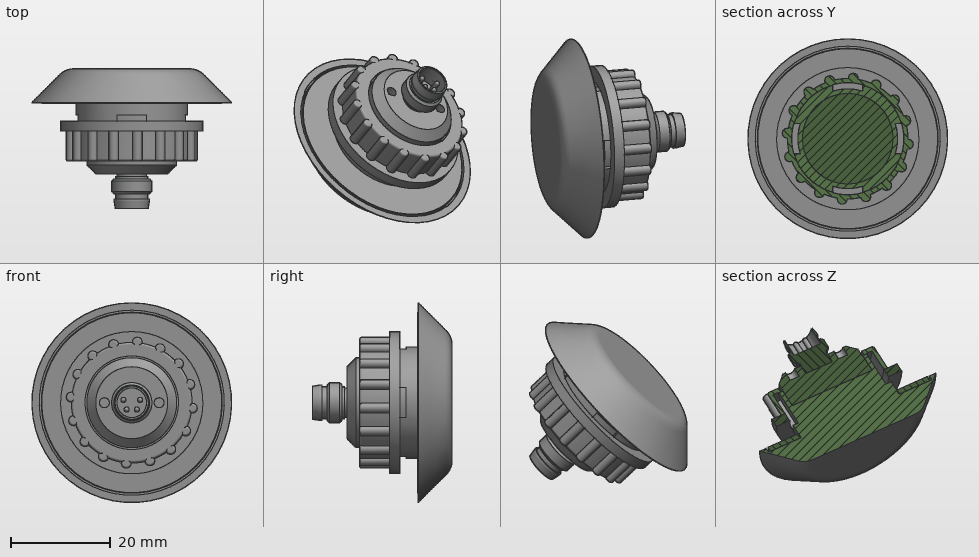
import cadquery as cq
import math


HEAD_RADIUS = 20.0
HEAD_DEPTH = 6.9
RIM_LAND = 0.1
DOME_BLEND_RADIUS = 4.0
RECESS_RADIUS = 18.5
RECESS_DEPTH = 1.0
NECK_RADIUS = 11.2
NECK_END = 17.5
NOTCH_COUNT = 4
NOTCH_WIDTH = 6.0
NOTCH_FLOOR_RADIUS = 10.0
NOTCH_START = 9.25

GASKET_RADIUS = 18.1
GASKET_CHAMFER = 0.1
GASKET_PROTRUSION = 0.1

WASHER_RADIUS = 14.25
WASHER_START = 10.5
WASHER_END = 12.5

NUT_RADIUS = 12.1
NUT_END = 18.5
NUT_FILLET = 0.5
NUT_MOUTH_RADIUS = 9.35
RIB_COUNT = 16
RIB_RADIUS = 1.0
RIB_CIRCLE_RADIUS = 12.15
RIB_FILLET = 0.4
RIB_START_ANGLE = 5.2

PLUG_RADIUS = 9.0
PLUG_CHAMFER = 1.8
PLUG_START = 13.5
PLUG_END = 21.1
SPANNER_HOLE_RADIUS = 1.0
SPANNER_HOLE_OFFSET = 5.5
SPANNER_HOLE_DEPTH = 2.0

CONNECTOR_END = 28.0
CONNECTOR_SEAT = 2.0
STEM_RADIUS = 2.95
STEM_LENGTH = 0.5
SHELL_RADIUS = 3.25
COLLAR_RADIUS = 4.05
COLLAR_CHAMFER = 0.5
COLLAR_START = 22.05
COLLAR_END = 25.05
LIP_RADIUS = 3.55
LIP_START = 26.05
LIP_LENGTH = 0.5
TIP_RADIUS = 3.3
SOCKET_RADIUS = 2.95
SOCKET_DEPTH = 4.0

PIN_RADIUS = 0.5
PIN_END = 27.4
PIN_SEAT = 1.0
PIN_CENTERS = [(-1.7, 0.55), (1.7, 0.55), (-1.05, -1.35), (1.05, -1.35)]


def turned(profile):
    """Revolve a closed (depth, radius) polyline about the Y axis."""
    points = [(-depth, radius) for depth, radius in profile]
    return cq.Workplane("YZ").polyline(points).close().revolve(360, (0, 0), (1, 0))


def cylinder(radius, start, end, x=0.0, z=0.0):
    """Cylinder along Y between two depths, centred at (x, z)."""
    rod = turned([(start, 0), (start, radius), (end, radius), (end, 0)])
    return rod.translate((x, 0, z))


def rounded_rod(radius, start, end, fillet, z=0.0):
    """Cylinder along Y whose front edge is rounded."""
    return cylinder(radius, start, end, z=z).faces("<Y").edges().fillet(fillet)


def make_head():
    """Solid domed disc: flat back, tangent arc, 45 degree cone and a short straight rim."""
    diagonal = math.sqrt(0.5)
    cone_end = HEAD_DEPTH - RIM_LAND
    blend_depth = DOME_BLEND_RADIUS * (1 - diagonal)
    blend_radius = HEAD_RADIUS - (cone_end - blend_depth)
    flat_radius = blend_radius - DOME_BLEND_RADIUS * diagonal
    middle = math.radians(45 / 2)
    arc_middle = (
        -DOME_BLEND_RADIUS * (1 - math.cos(middle)),
        flat_radius + DOME_BLEND_RADIUS * math.sin(middle),
    )
    return (
        cq.Workplane("YZ")
        .moveTo(0, 0)
        .lineTo(0, flat_radius)
        .threePointArc(arc_middle, (-blend_depth, blend_radius))
        .lineTo(-cone_end, HEAD_RADIUS)
        .lineTo(-HEAD_DEPTH, HEAD_RADIUS)
        .lineTo(-HEAD_DEPTH, 0)
        .close()
        .revolve(360, (0, 0), (1, 0))
    )


def make_neck_notches():
    """Four straight-sided keyways with a common round floor, as cutters."""
    length = NECK_END - NOTCH_START
    bar = cq.Workplane("XY").box(NOTCH_WIDTH, length, NECK_RADIUS, centered=(True, True, False))
    bar = bar.translate((0, -(NOTCH_START + NECK_END) / 2, 0))
    core = cylinder(NOTCH_FLOOR_RADIUS, NOTCH_START, NECK_END)
    cutter = bar.cut(core)
    return [cutter.rotate((0, 0, 0), (0, 1, 0), index * 360 / NOTCH_COUNT) for index in range(NOTCH_COUNT)]


def make_housing():
    recess_floor = HEAD_DEPTH - RECESS_DEPTH
    head = make_head().cut(cylinder(RECESS_RADIUS, recess_floor, HEAD_DEPTH))
    housing = head.union(cylinder(NECK_RADIUS, recess_floor, NECK_END))
    housing = housing.cut(cylinder(PLUG_RADIUS, PLUG_START, NECK_END))
    for notch in make_neck_notches():
        housing = housing.cut(notch)
    return housing


def make_gasket():
    back = HEAD_DEPTH - RECESS_DEPTH
    front = HEAD_DEPTH + GASKET_PROTRUSION
    return turned([
        (back, NECK_RADIUS),
        (back, GASKET_RADIUS),
        (front - GASKET_CHAMFER, GASKET_RADIUS),
        (front, GASKET_RADIUS - GASKET_CHAMFER),
        (front, NECK_RADIUS),
    ])


def make_washer():
    washer = cylinder(WASHER_RADIUS, WASHER_START, WASHER_END)
    return washer.cut(cylinder(NECK_RADIUS, WASHER_START, WASHER_END))


def make_nut():
    nut = rounded_rod(NUT_RADIUS, WASHER_END, NUT_END, NUT_FILLET)
    rib = rounded_rod(RIB_RADIUS, WASHER_END, NUT_END, RIB_FILLET, z=RIB_CIRCLE_RADIUS)
    for index in range(RIB_COUNT):
        angle = RIB_START_ANGLE + index * 360 / RIB_COUNT
        nut = nut.union(rib.rotate((0, 0, 0), (0, 1, 0), angle))
    nut = nut.cut(cylinder(NECK_RADIUS, WASHER_END, NECK_END))
    return nut.cut(cylinder(NUT_MOUTH_RADIUS, NECK_END, NUT_END))


def make_plug():
    plug = cylinder(PLUG_RADIUS, PLUG_START, PLUG_END).faces("<Y").chamfer(PLUG_CHAMFER)
    for side in (-1, 1):
        x = side * SPANNER_HOLE_OFFSET
        plug = plug.cut(cylinder(SPANNER_HOLE_RADIUS, PLUG_END - SPANNER_HOLE_DEPTH, PLUG_END, x))
    return plug.cut(cylinder(STEM_RADIUS, PLUG_END - CONNECTOR_SEAT, PLUG_END))


def make_pin(x, z):
    start = CONNECTOR_END - SOCKET_DEPTH - PIN_SEAT
    pin = cylinder(PIN_RADIUS, start, PIN_END - PIN_RADIUS, x, z)
    return pin.union(cq.Workplane("XY").sphere(PIN_RADIUS).translate((x, PIN_RADIUS - PIN_END, z)))


def make_connector():
    connector = turned([
        (PLUG_END - CONNECTOR_SEAT, 0),
        (PLUG_END - CONNECTOR_SEAT, STEM_RADIUS),
        (PLUG_END + STEM_LENGTH, STEM_RADIUS),
        (PLUG_END + STEM_LENGTH, SHELL_RADIUS),
        (COLLAR_START, SHELL_RADIUS),
        (COLLAR_START, COLLAR_RADIUS - COLLAR_CHAMFER),
        (COLLAR_START + COLLAR_CHAMFER, COLLAR_RADIUS),
        (COLLAR_END - COLLAR_CHAMFER, COLLAR_RADIUS),
        (COLLAR_END, COLLAR_RADIUS - COLLAR_CHAMFER),
        (COLLAR_END, SHELL_RADIUS),
        (LIP_START, SHELL_RADIUS),
        (LIP_START, LIP_RADIUS),
        (LIP_START + LIP_LENGTH, LIP_RADIUS),
        (CONNECTOR_END, TIP_RADIUS),
        (CONNECTOR_END, 0),
    ])
    socket_floor = CONNECTOR_END - SOCKET_DEPTH
    connector = connector.cut(cylinder(SOCKET_RADIUS, socket_floor, CONNECTOR_END))
    for x, z in PIN_CENTERS:
        connector = connector.cut(cylinder(PIN_RADIUS, socket_floor - PIN_SEAT, socket_floor, x, z))
    return connector


housing = make_housing()
gasket = make_gasket()
washer = make_washer()
nut = make_nut()
plug = make_plug()
connector = make_connector()
pins = [make_pin(x, z).val() for x, z in PIN_CENTERS]

result = cq.Compound.makeCompound([
    housing.val(),
    gasket.val(),
    washer.val(),
    nut.val(),
    plug.val(),
    connector.val(),
    *pins,
])